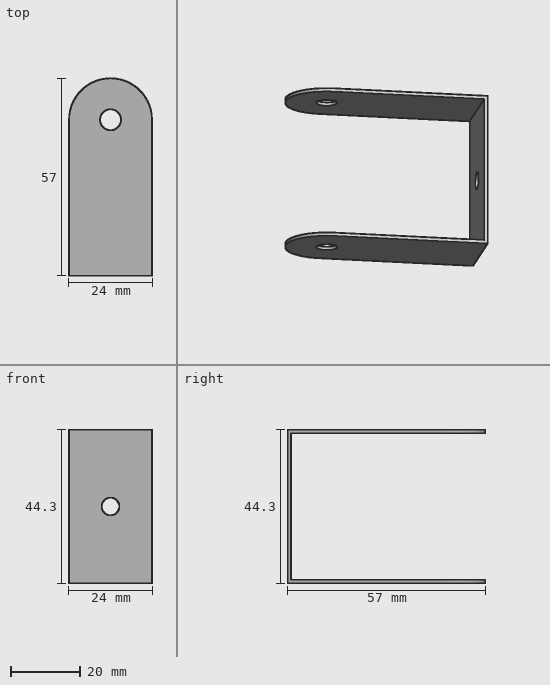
import cadquery as cq

length = 57.0
width = 24.0
height = 44.3
thickness = 1.0
arm_hole_diameter = 6.0
web_hole_diameter = 5.0

end_radius = width / 2
arm_axis_y = length / 2 - end_radius
web_face_y = -length / 2


def arm(bottom_z):
    """Flat arm with a full-round free end and a pivot hole."""
    return (
        cq.Workplane("XY", origin=(0, 0, bottom_z))
        .moveTo(-end_radius, web_face_y)
        .lineTo(end_radius, web_face_y)
        .lineTo(end_radius, arm_axis_y)
        .threePointArc((0, length / 2), (-end_radius, arm_axis_y))
        .close()
        .pushPoints([(0, arm_axis_y)])
        .circle(arm_hole_diameter / 2)
        .extrude(thickness)
    )


def web():
    """Upright plate joining the arms, with a central mounting hole."""
    return (
        cq.Workplane("XZ", origin=(0, web_face_y, 0))
        .rect(width, height)
        .circle(web_hole_diameter / 2)
        .extrude(-thickness)
    )


lower_arm = arm(-height / 2)
upper_arm = arm(height / 2 - thickness)
result = web().union(lower_arm).union(upper_arm)